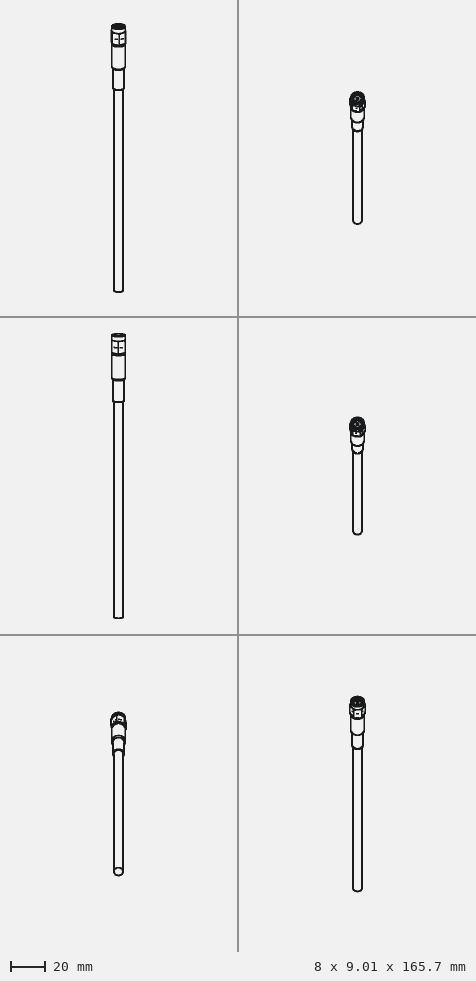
import cadquery as cq
import math

total_height = 165.7
collar_height = 2.7
hex_height = 7.5
neck_height = 1.0
ferrule_height = 14.0
sleeve_height = 13.6

hex_across_flats = 7.8
hex_end_diameter = 8.3
hex_bevel_height = 0.3
collar_diameter = 7.8
neck_diameter = 6.8
ferrule_diameter = 8.0
ferrule_top_diameter = 7.6
ferrule_bevel_height = 0.7
sleeve_diameter = 6.5
sleeve_cone_height = 1.0
cable_diameter = 5.3

socket_diameter = 6.6
socket_depth = 6.6
barrel_diameter = 5.6
barrel_recess = 0.8
barrel_bore_diameter = 4.3
dielectric_recess = 1.2
pin_diameter = 1.5
pin_recess = 0.8

hex_top = total_height - collar_height
hex_bottom = hex_top - hex_height
ferrule_top = hex_bottom - neck_height
ferrule_bottom = ferrule_top - ferrule_height
sleeve_bottom = ferrule_bottom - sleeve_height
socket_floor = total_height - socket_depth


def cylinder(diameter, bottom, top):
    """Upright cylinder on the Z axis between two levels."""
    return cq.Workplane("XY", origin=(0, 0, bottom)).circle(diameter / 2).extrude(top - bottom)


def cone(bottom_diameter, bottom, top_diameter, top):
    """Upright truncated cone on the Z axis between two levels."""
    return cq.Workplane(
        cq.Solid.makeCone(bottom_diameter / 2, top_diameter / 2, top - bottom, cq.Vector(0, 0, bottom))
    )


def hex_nut():
    """Hexagon with corners along Y, bevelled at both ends."""
    across_corners = hex_across_flats / math.cos(math.pi / 6)
    prism = (
        cq.Workplane("XY", origin=(0, 0, hex_bottom))
        .polygon(6, across_corners)
        .extrude(hex_height)
        .rotate((0, 0, 0), (0, 0, 1), 90)
    )
    bevel_inset = (across_corners - hex_end_diameter) / 2
    envelope = (
        cylinder(across_corners, hex_bottom, hex_top)
        .edges("%CIRCLE")
        .chamfer(hex_bevel_height, bevel_inset)
    )
    return prism.intersect(envelope)


def ferrule():
    """Wide middle section, slightly bevelled at its top edge."""
    bevel_bottom = ferrule_top - ferrule_bevel_height
    bevel = cone(ferrule_diameter, bevel_bottom, ferrule_top_diameter, ferrule_top)
    return cylinder(ferrule_diameter, ferrule_bottom, bevel_bottom).union(bevel)


def sleeve():
    """Rear sleeve joined to the ferrule by a short cone."""
    cone_bottom = ferrule_bottom - sleeve_cone_height
    shoulder = cone(sleeve_diameter, cone_bottom, ferrule_diameter, ferrule_bottom)
    return cylinder(sleeve_diameter, sleeve_bottom, cone_bottom).union(shoulder)


def mating_socket():
    """Cavity of the socket, leaving the barrel, the dielectric and the centre pin standing."""
    cavity = cylinder(socket_diameter, socket_floor, total_height)
    barrel = cylinder(barrel_diameter, socket_floor, total_height - barrel_recess)
    barrel_bore = cylinder(barrel_bore_diameter, total_height - dielectric_recess, total_height)
    pin = cylinder(pin_diameter, socket_floor, total_height - pin_recess)
    return cavity.cut(barrel.cut(barrel_bore)).cut(pin)


def make_connector():
    return (
        cylinder(collar_diameter, hex_top, total_height)
        .union(hex_nut())
        .union(cylinder(neck_diameter, ferrule_top, hex_bottom))
        .union(ferrule())
        .union(sleeve())
        .cut(mating_socket())
    )


def make_cable():
    """Straight round cable butting against the sleeve."""
    return cylinder(cable_diameter, 0, sleeve_bottom)


connector = make_connector()
cable = make_cable()

result = cq.Compound.makeCompound([connector.val(), cable.val()])